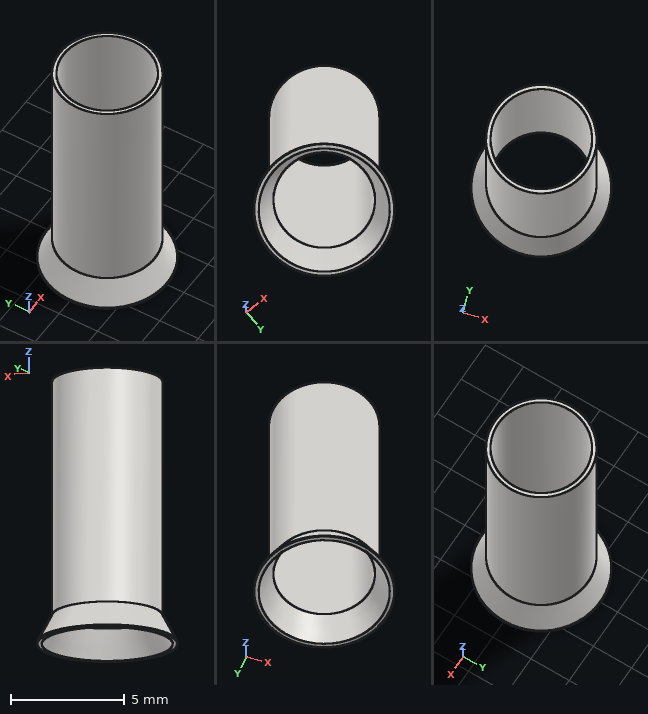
import cadquery as cq

total_height = 12.0
tube_diameter = 4.9
wall_thickness = 0.2
flare_diameter = 6.2
flare_height = 1.3
rim_height = 0.07

tube_radius = tube_diameter / 2
bore_radius = tube_radius - wall_thickness
flare_radius = flare_diameter / 2
mouth_radius = flare_radius - wall_thickness

outer_wall = [
    (flare_radius, 0),
    (flare_radius, rim_height),
    (tube_radius, flare_height),
    (tube_radius, total_height),
]
inner_wall = [
    (bore_radius, total_height),
    (bore_radius, flare_height),
    (mouth_radius, 0),
]

result = (
    cq.Workplane("XZ")
    .polyline(outer_wall + inner_wall)
    .close()
    .revolve(360, (0, 0), (0, 1))
)